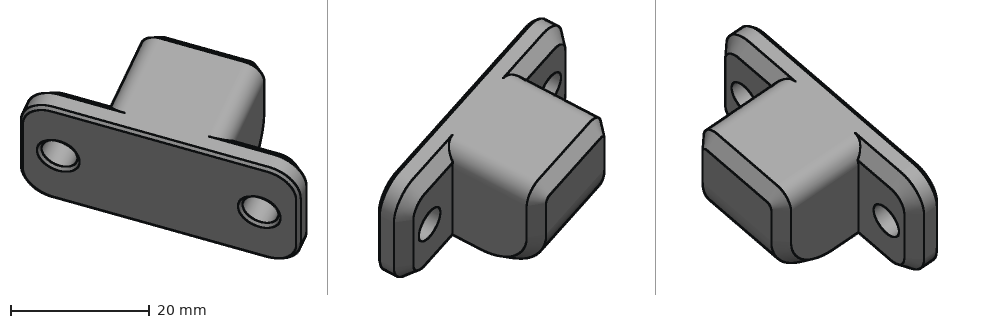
import cadquery as cq

plate_length = 43.0
height = 20.0
plate_thickness = 5.0
corner_radius = 5.0
front_chamfer = 0.5
rear_chamfer = 2.0

hole_diameter = 5.5
hole_spacing = 30.87
hole_pair_offset = -0.15
countersink_depth = 0.5
countersink_diameter = hole_diameter + 2 * countersink_depth

depth = 20.0
block_width = 19.0
block_corner_radius = depth / 2
top_fillet = 3.0
block_chamfer = rear_chamfer
block_start = plate_thickness / 2


def make_plate():
    plate = (
        cq.Workplane("XZ")
        .rect(plate_length, height)
        .extrude(-plate_thickness)
        .edges("|Y")
        .fillet(corner_radius)
    )
    plate = plate.faces("<Y").chamfer(front_chamfer)
    return plate.faces(">Y").chamfer(rear_chamfer)


def make_block():
    top = height / 2
    bottom = -height / 2
    block = (
        cq.Workplane("YZ")
        .moveTo(block_start, bottom)
        .lineTo(depth - block_corner_radius, bottom)
        .radiusArc((depth, bottom + block_corner_radius), -block_corner_radius)
        .lineTo(depth, top)
        .lineTo(block_start, top)
        .close()
        .extrude(block_width / 2, both=True)
    )
    block = block.faces(">Z").edges("|Y").fillet(top_fillet)
    return block.faces(">Y").edges("not(<Z)").chamfer(block_chamfer)


def make_hole(x):
    hole_radius = hole_diameter / 2
    countersink_radius = countersink_diameter / 2
    return (
        cq.Workplane("XY")
        .polyline([
            (x, 0),
            (x + countersink_radius, 0),
            (x + hole_radius, countersink_depth),
            (x + hole_radius, plate_thickness),
            (x, plate_thickness),
        ])
        .close()
        .revolve(360, (x, 0), (x, 1))
    )


result = make_plate().union(make_block())
for side in (-1, 1):
    result = result.cut(make_hole(hole_pair_offset + side * hole_spacing / 2))